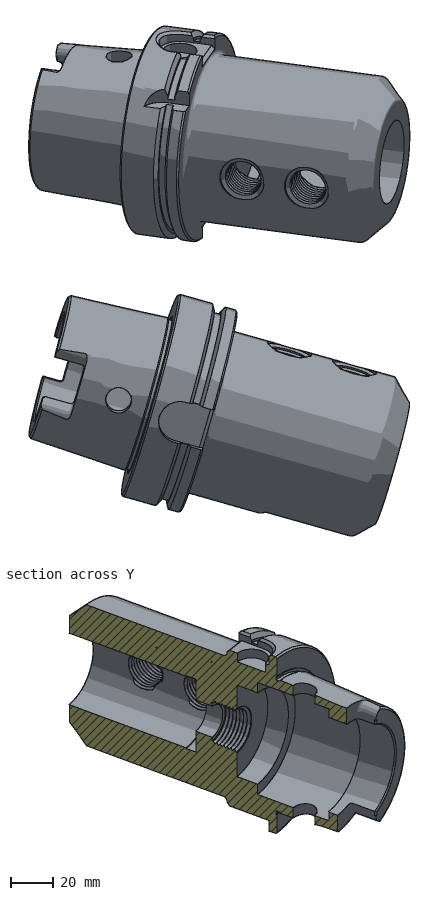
import cadquery as cq
import math

overlap = 1.7
selection_margin = 0.2

total_length = 170.0
flange_front = 50.0
flange_rear = 79.0

taper_tip_radius = 35.4
taper_end = 48.0
taper_end_radius = 37.7
tip_chamfer = 1.0
relief_radius = 37.0
relief_face_radius = 38.8
relief_face_depth = 0.5

flange_radius = 50.0
flange_chamfer = 0.8
groove_center = 70.0
groove_floor_radius = 46.0
groove_half_mouth = 3.2
groove_half_floor = 1.7
groove_wall_angle = 60.0
groove_wall_depth = (groove_half_mouth - groove_half_floor) * math.tan(math.radians(groove_wall_angle))
groove_wall_radius = flange_radius - groove_wall_depth

body_radius = 40.0
neck_fillet = 2.0
nose_chamfer = 10.0
nose_edge_fillet = 1.5
flat_height = 36.4
flat_start = 117.6
flat_slope_run = 2.9

cavity_mouth_radius = 26.5
cavity_mouth_chamfer = 0.7
undercut_start = 20.4
undercut_end = 61.2
undercut_radius = 31.5
cavity_floor_radius = 25.7
cavity_depth = 73.1
coolant_radius = 8.7
bore_radius = 20.0
bore_relief_radius = 20.4
bore_relief_end = 102.3
bore_end = 96.9

thread_pitch = 2.0
screw_major_radius = 10.0
screw_minor_radius = 8.8
screw_mouth_radius = 10.9
screw_mouth_depth = 1.4
screw_positions = (107.6, 139.7)
coolant_thread_major_radius = 11.9
coolant_thread_minor_radius = 10.7
coolant_thread_mouth_radius = 12.2
coolant_thread_mouth_depth = 0.5
coolant_thread_length = 14.3

slot_half_width = 10.0
slot_shoulder_height = 32.0
slot_shoulder_radius = 5.1
slot_end_fillet = 1.7
slot_mouth_chamfer = 0.8
top_slot_depth = 9.9
bottom_slot_depth = 15.0

radial_hole_x = 34.5
radial_hole_radius = 6.1

keyway_half_width = 10.0
keyway_center = 64.8
keyway_floor_height = 44.0
keyway_rim_chamfer = 1.4
keyway_rear_chamfer = 1.7
pocket_radius = 8.0
pocket_depth = 5.0
notch_offset = 31.6
notch_end_radius = 10.0
notch_arc_center = 68.3


def turned(points):
    """Solid of revolution about the X axis from (x, radius) points."""
    return cq.Workplane("XY").polyline(points).close().revolve(360, (0, 0, 0), (1, 0, 0))


def threaded_cutter(minor_radius, major_radius, mouth_radius, mouth_depth, length):
    """Cutter along +X from the origin: straight mouth, then ring-shaped thread ridges."""
    thread_start = mouth_depth + thread_pitch / 2
    points = [(0, 0), (0, mouth_radius), (mouth_depth, mouth_radius), (thread_start, minor_radius)]
    for ring in range(int((length - thread_start) / thread_pitch)):
        ring_start = thread_start + ring * thread_pitch
        points.append((ring_start + thread_pitch / 2, major_radius))
        points.append((ring_start + thread_pitch, minor_radius))
    if points[-1][0] < length:
        points.append((length, minor_radius))
    points.append((length, 0))
    return turned(points)


def taper_shank():
    """Hollow-taper shank with a chamfered tip and a relief in front of the flange."""
    return turned([
        (0, 0),
        (0, taper_tip_radius - tip_chamfer),
        (tip_chamfer, taper_tip_radius),
        (taper_end, taper_end_radius),
        (taper_end + taper_end_radius - relief_radius, relief_radius),
        (flange_front + overlap, relief_radius),
        (flange_front + overlap, 0),
    ])


def flange():
    """Gripper flange with two keyways, a blind pocket, the V-groove and the corner notch."""
    ring = turned([
        (flange_front, 0),
        (flange_front, flange_radius - flange_chamfer),
        (flange_front + flange_chamfer, flange_radius),
        (flange_rear - flange_chamfer, flange_radius),
        (flange_rear, flange_radius - flange_chamfer),
        (flange_rear, 0),
    ])
    keyway = (
        cq.Workplane("XY", origin=(0, 0, keyway_floor_height))
        .moveTo(total_length, keyway_half_width)
        .lineTo(keyway_center, keyway_half_width)
        .threePointArc((keyway_center - keyway_half_width, 0), (keyway_center, -keyway_half_width))
        .lineTo(total_length, -keyway_half_width)
        .close()
        .extrude(flange_radius)
    )
    ring = ring.cut(keyway).cut(keyway.mirror("XY"))
    rim_box = cq.selectors.BoxSelector(
        (flange_front + overlap, -keyway_half_width - selection_margin, keyway_floor_height + overlap),
        (flange_rear - flange_chamfer, keyway_half_width + selection_margin, flange_radius + overlap),
    )
    ring = ring.edges(rim_box).edges("not |Z").chamfer(keyway_rim_chamfer)
    keyway_rear_edges = ring.faces(">X").edges("|Y")
    ring = keyway_rear_edges.chamfer(keyway_rear_chamfer)
    pocket = (
        cq.Workplane("XY", origin=(keyway_center, 0, keyway_floor_height))
        .circle(pocket_radius)
        .extrude(-pocket_depth)
    )
    groove = turned([
        (groove_center - groove_half_floor, groove_floor_radius),
        (groove_center - groove_half_floor, groove_wall_radius),
        (groove_center - groove_half_mouth, flange_radius),
        (groove_center - groove_half_mouth, flange_radius + overlap),
        (groove_center + groove_half_mouth, flange_radius + overlap),
        (groove_center + groove_half_mouth, flange_radius),
        (groove_center + groove_half_floor, groove_wall_radius),
        (groove_center + groove_half_floor, groove_floor_radius),
    ])
    face_relief = turned([
        (flange_front, 0),
        (flange_front, relief_face_radius),
        (flange_front + relief_face_depth, relief_face_radius),
        (flange_front + relief_face_depth, 0),
    ])
    return ring.cut(pocket).cut(groove).cut(face_relief).cut(corner_notch())


def corner_notch():
    """Cutter for a square step 45 degrees round the rim, ended by a vertical quarter round."""
    arc_center_y = -notch_offset - notch_end_radius
    return (
        cq.Workplane("XY", origin=(0, 0, notch_offset))
        .moveTo(total_length, -notch_offset)
        .lineTo(notch_arc_center, -notch_offset)
        .radiusArc((notch_arc_center - notch_end_radius, arc_center_y), -notch_end_radius)
        .lineTo(notch_arc_center - notch_end_radius, -flange_radius)
        .lineTo(total_length, -flange_radius)
        .close()
        .extrude(flange_radius)
    )


def clamping_body():
    """Cylindrical body with a neck fillet, a chamfered nose and a flat on the +Y side."""
    neck_end = flange_rear + neck_fillet
    neck_mid = neck_fillet * (1 - math.sqrt(0.5))
    profile = (
        cq.Workplane("XY")
        .moveTo(flange_rear - overlap, 0)
        .lineTo(flange_rear - overlap, body_radius + neck_fillet)
        .lineTo(flange_rear, body_radius + neck_fillet)
        .threePointArc((flange_rear + neck_mid, body_radius + neck_mid), (neck_end, body_radius))
        .lineTo(total_length - nose_chamfer, body_radius)
        .lineTo(total_length, body_radius - nose_chamfer)
        .lineTo(total_length, 0)
        .close()
    )
    body = profile.revolve(360, (0, 0, 0), (1, 0, 0))
    nose_edges = cq.selectors.BoxSelector(
        (total_length - nose_chamfer - selection_margin, -body_radius - overlap, -body_radius - overlap),
        (total_length + selection_margin, body_radius + overlap, body_radius + overlap),
    )
    body = body.edges(nose_edges).edges("%CIRCLE").fillet(nose_edge_fillet)
    flat_rise = body_radius - flat_height
    flat = (
        cq.Workplane("XY", origin=(0, 0, -body_radius))
        .moveTo(flat_start, flat_height)
        .lineTo(flat_start - flat_slope_run, flat_height + flat_rise)
        .lineTo(total_length, flat_height + flat_rise)
        .lineTo(total_length, flat_height)
        .close()
        .extrude(2 * body_radius)
    )
    return body.cut(flat)


def driving_slot(depth):
    """Slot in the upper side of the tip whose walls round off into an open shoulder."""
    wall_top = slot_shoulder_height - slot_shoulder_radius
    shoulder = slot_half_width + slot_shoulder_radius
    reach = taper_end_radius
    return (
        cq.Workplane("YZ")
        .moveTo(-slot_half_width, 0)
        .lineTo(-slot_half_width, wall_top)
        .radiusArc((-shoulder, slot_shoulder_height), -slot_shoulder_radius)
        .lineTo(-reach, slot_shoulder_height)
        .lineTo(-reach, reach)
        .lineTo(reach, reach)
        .lineTo(reach, slot_shoulder_height)
        .lineTo(shoulder, slot_shoulder_height)
        .radiusArc((slot_half_width, wall_top), -slot_shoulder_radius)
        .lineTo(slot_half_width, 0)
        .close()
        .extrude(depth)
        .faces(">X")
        .edges("not(<Z or >Z)")
        .fillet(slot_end_fillet)
    )


def slot_mouth_bevel():
    """Wedge that bevels the tip edges of the straight slot walls, above and below the axis."""
    wall_top = slot_shoulder_height - slot_shoulder_radius
    mouth_half_width = slot_half_width + slot_mouth_chamfer
    return (
        cq.Workplane("XY", origin=(0, 0, -wall_top))
        .moveTo(0, -mouth_half_width)
        .lineTo(0, mouth_half_width)
        .lineTo(slot_mouth_chamfer, slot_half_width)
        .lineTo(slot_mouth_chamfer, -slot_half_width)
        .close()
        .extrude(2 * wall_top)
    )


def clamping_cavity():
    """Cutter for the cavity in the taper: narrow mouth, undercut and stepped floor."""
    return turned([
        (0, 0),
        (0, cavity_mouth_radius + cavity_mouth_chamfer),
        (cavity_mouth_chamfer, cavity_mouth_radius),
        (undercut_start, cavity_mouth_radius),
        (undercut_start, undercut_radius),
        (undercut_end, undercut_radius),
        (undercut_end, cavity_floor_radius),
        (cavity_depth, cavity_floor_radius),
        (cavity_depth, 0),
    ])


def tool_bore():
    """Cutter for the coolant passage, the bore relief and the bore open at the nose."""
    return turned([
        (cavity_depth, 0),
        (cavity_depth, coolant_radius),
        (bore_end, coolant_radius),
        (bore_end, bore_relief_radius),
        (bore_relief_end, bore_relief_radius),
        (bore_relief_end, bore_radius),
        (total_length, bore_radius),
        (total_length, 0),
    ])


result = taper_shank().union(flange()).union(clamping_body())
result = result.cut(clamping_cavity()).cut(tool_bore())
result = result.cut(driving_slot(top_slot_depth))
result = result.cut(driving_slot(bottom_slot_depth).mirror("XY"))
result = result.cut(slot_mouth_bevel())

radial_hole = (
    cq.Workplane("XY", origin=(radial_hole_x, 0, -taper_end_radius))
    .circle(radial_hole_radius)
    .extrude(2 * taper_end_radius)
)
result = result.cut(radial_hole)

coolant_thread = threaded_cutter(
    coolant_thread_minor_radius,
    coolant_thread_major_radius,
    coolant_thread_mouth_radius,
    coolant_thread_mouth_depth,
    coolant_thread_length,
)
result = result.cut(coolant_thread.translate((cavity_depth, 0, 0)))

screw_hole = threaded_cutter(
    screw_minor_radius,
    screw_major_radius,
    screw_mouth_radius,
    screw_mouth_depth,
    body_radius - bore_radius / 2,
).rotate((0, 0, 0), (0, 0, 1), 90)
for screw_x in screw_positions:
    result = result.cut(screw_hole.translate((screw_x, -body_radius, 0)))